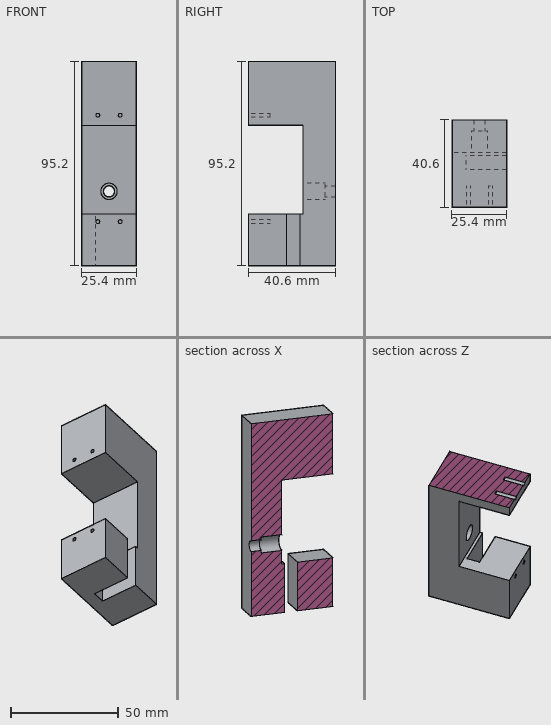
import cadquery as cq

WIDTH = 25.4
DEPTH = 40.64
HEIGHT = 95.25

ARM_LENGTH = 25.4
LOWER_ARM_HEIGHT = 24.2
UPPER_ARM_HEIGHT = 29.85

HOLE_DIAMETER = 5.08
COUNTERBORE_DIAMETER = 7.62
COUNTERBORE_DEPTH = 10.16
HOLE_ABOVE_LOWER_ARM = 10.53

PIN_DIAMETER = 1.8
PIN_DEPTH = 10.0
PIN_SPACING = 10.4
PIN_BELOW_LOWER_ARM_TOP = 3.57
PIN_ABOVE_UPPER_ARM_BOTTOM = 4.75

SLOT_WIDTH = 6.35
SLOT_SETBACK = 1.4
SLOT_END_WALL = 6.35

front_y = -DEPTH / 2
web_y = front_y + ARM_LENGTH
opening_top_z = HEIGHT - UPPER_ARM_HEIGHT
hole_z = LOWER_ARM_HEIGHT + HOLE_ABOVE_LOWER_ARM
pin_levels = (
    LOWER_ARM_HEIGHT - PIN_BELOW_LOWER_ARM_TOP,
    opening_top_z + PIN_ABOVE_UPPER_ARM_BOTTOM,
)


def box_between(low, high):
    """Box spanning two opposite corners."""
    size = [b - a for a, b in zip(low, high)]
    return cq.Workplane("XY").box(*size, centered=False).translate(low)


def bore(x, y, z, diameter, depth):
    """Cylinder starting at the given point and running towards +Y."""
    start = cq.Vector(x, y, z)
    direction = cq.Vector(0, 1, 0)
    return cq.Workplane(cq.Solid.makeCylinder(diameter / 2, depth, start, direction))


def c_block():
    """Web with an upper and a lower arm, as one extruded C profile."""
    back_y = DEPTH / 2
    profile = [
        (back_y, 0),
        (back_y, HEIGHT),
        (front_y, HEIGHT),
        (front_y, opening_top_z),
        (web_y, opening_top_z),
        (web_y, LOWER_ARM_HEIGHT),
        (front_y, LOWER_ARM_HEIGHT),
        (front_y, 0),
    ]
    return cq.Workplane("YZ").polyline(profile).close().extrude(WIDTH / 2, both=True)


def web_hole():
    """Through hole with its counterbore on the opening side of the web."""
    through = bore(0, web_y, hole_z, HOLE_DIAMETER, DEPTH - ARM_LENGTH)
    counterbore = bore(0, web_y, hole_z, COUNTERBORE_DIAMETER, COUNTERBORE_DEPTH)
    return through.union(counterbore)


def arm_slot():
    """Slot leaving a thin rib beside the web and a wall on the -X side."""
    slot_back_y = web_y - SLOT_SETBACK
    low = (-WIDTH / 2 + SLOT_END_WALL, slot_back_y - SLOT_WIDTH, 0)
    high = (WIDTH / 2, slot_back_y, LOWER_ARM_HEIGHT)
    return box_between(low, high)


def pin_holes():
    """Pair of blind pin holes in the end face of each arm."""
    holes = cq.Workplane("XY")
    for pin_z in pin_levels:
        for pin_x in (-PIN_SPACING / 2, PIN_SPACING / 2):
            holes = holes.add(bore(pin_x, front_y, pin_z, PIN_DIAMETER, PIN_DEPTH))
    return holes.combine()


result = c_block().cut(web_hole()).cut(arm_slot()).cut(pin_holes())